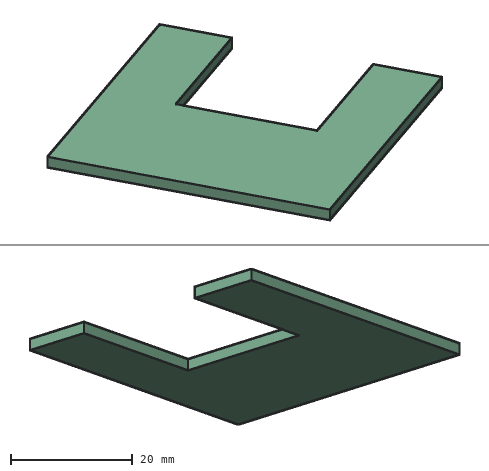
import cadquery as cq

side = 50.0
thickness = 2.0

slot_width = side / 2
slot_depth = side / 2
left_arm_width = 12.8

plate = cq.Workplane("XY").box(side, side, thickness)

slot_center_x = -side / 2 + left_arm_width + slot_width / 2
slot_center_y = side / 2 - slot_depth / 2
slot = (
    cq.Workplane("XY")
    .center(slot_center_x, slot_center_y)
    .rect(slot_width, slot_depth)
    .extrude(thickness, both=True)
)

result = plate.cut(slot)